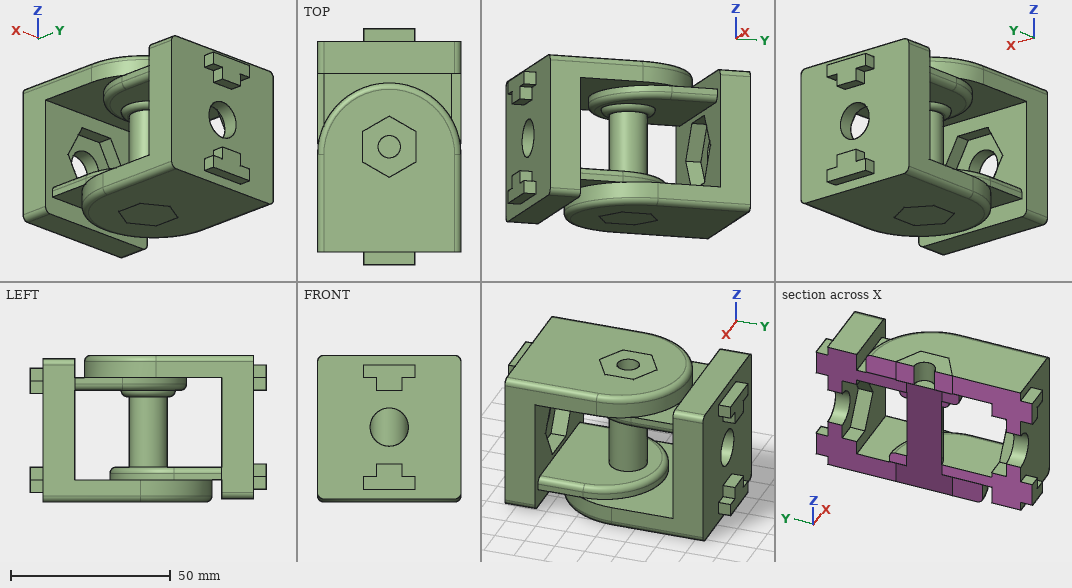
import cadquery as cq


PLATE_SIZE = 45.0
PLATE_THICKNESS = 10.0
PLATE_INNER_FACE = -23.0
PLATE_OUTER_FACE = PLATE_INNER_FACE - PLATE_THICKNESS
EDGE_RADIUS = 2.0

HINGE_HALF_HEIGHT = 23.0
THICK_ARM = 7.0
THIN_ARM = 4.0
CONTACT_HEIGHT = HINGE_HALF_HEIGHT - THICK_ARM
THIN_ARM_FACE = CONTACT_HEIGHT - THIN_ARM
THICK_ARM_TIP = 20.0
THIN_ARM_TIP = 12.0
THIN_ARM_WIDTH = 40.0
THIN_ARM_OFFSET = -0.5
PLATE_MIDDLE = HINGE_HALF_HEIGHT - PLATE_SIZE / 2

KEY_DEPTH = 4.0
KEY_BAR_WIDTH = 16.0
KEY_STEM_WIDTH = 8.0
KEY_BAR_HEIGHT = 4.0
KEY_HEIGHT = 8.0
KEY_OUTER_OFFSET = 19.5

MOUNT_HOLE_DIAMETER = 12.0
MOUNT_HEX_CORNERS = 25.0
MOUNT_HEX_DEPTH = 5.0

PIN_DIAMETER = 12.0
HEX_CORNERS = 19.2
NUT_HOLE_DIAMETER = 7.0
COLLAR_DIAMETER = 17.0
COLLAR_HEIGHT = 2.0
COLLAR_EDGE_RADIUS = 1.95


def rounded_arm(width, tip, z_bottom, thickness, x_middle):
    """Flat arm from the plate's inner face to a full round tip."""
    half = width / 2
    arc_start = tip - half
    return (
        cq.Workplane("XY", origin=(x_middle, 0, z_bottom))
        .moveTo(-half, PLATE_INNER_FACE)
        .lineTo(-half, arc_start)
        .threePointArc((0, tip), (half, arc_start))
        .lineTo(half, PLATE_INNER_FACE)
        .close()
        .extrude(thickness)
    )


def round_top_rim(arm):
    """Round the upper edge of an arm, except where it meets the plate."""
    return arm.faces(">Z").edges("not <Y").fillet(EDGE_RADIUS)


def upright_hexagon(z_bottom, height):
    """Hexagonal prism on the hinge axis, with corners toward +Y and -Y."""
    return (
        cq.Workplane("XY", origin=(0, 0, z_bottom))
        .transformed(rotate=(0, 0, 90))
        .polygon(6, HEX_CORNERS)
        .extrude(height)
    )


def hinge_cylinder(diameter, z_bottom, height):
    """Cylinder on the hinge axis."""
    return cq.Workplane("XY", origin=(0, 0, z_bottom)).circle(diameter / 2).extrude(height)


def make_plate():
    """Square base plate with its four corners rounded."""
    return (
        cq.Workplane("XZ", origin=(0, PLATE_INNER_FACE, PLATE_MIDDLE))
        .rect(PLATE_SIZE, PLATE_SIZE)
        .extrude(PLATE_THICKNESS)
        .edges("|Y")
        .fillet(EDGE_RADIUS)
    )


def make_key(direction):
    """T-shaped key above (direction 1) or below (-1) the mounting hole, stem toward the hole."""
    outer = direction * KEY_OUTER_OFFSET
    shoulder = outer - direction * KEY_BAR_HEIGHT
    inner = outer - direction * KEY_HEIGHT
    half_bar = KEY_BAR_WIDTH / 2
    half_stem = KEY_STEM_WIDTH / 2
    return (
        cq.Workplane("XZ", origin=(0, PLATE_OUTER_FACE, PLATE_MIDDLE))
        .moveTo(-half_bar, outer)
        .lineTo(half_bar, outer)
        .lineTo(half_bar, shoulder)
        .lineTo(half_stem, shoulder)
        .lineTo(half_stem, inner)
        .lineTo(-half_stem, inner)
        .lineTo(-half_stem, shoulder)
        .lineTo(-half_bar, shoulder)
        .close()
        .extrude(KEY_DEPTH)
    )


def make_bracket():
    """Bracket on the -Y side, with its thick arm on top."""
    thick_arm = rounded_arm(PLATE_SIZE, THICK_ARM_TIP, CONTACT_HEIGHT, THICK_ARM, 0)
    thin_arm = rounded_arm(THIN_ARM_WIDTH, THIN_ARM_TIP, -CONTACT_HEIGHT, THIN_ARM, THIN_ARM_OFFSET)
    bracket = make_plate().union(round_top_rim(thick_arm)).union(round_top_rim(thin_arm))
    for direction in (1, -1):
        bracket = bracket.union(make_key(direction))

    mount_plane = cq.Workplane("XZ", origin=(0, PLATE_INNER_FACE, PLATE_MIDDLE))
    mount_hole = mount_plane.circle(MOUNT_HOLE_DIAMETER / 2).extrude(PLATE_THICKNESS)
    mount_recess = mount_plane.polygon(6, MOUNT_HEX_CORNERS).extrude(MOUNT_HEX_DEPTH)
    bracket = bracket.cut(mount_hole).cut(mount_recess)

    bracket = bracket.cut(upright_hexagon(CONTACT_HEIGHT, THICK_ARM))
    return bracket.cut(hinge_cylinder(PIN_DIAMETER, -CONTACT_HEIGHT, THIN_ARM))


def make_pin():
    """Round pin whose hexagonal head fills the socket of the lower thick arm."""
    shank = hinge_cylinder(PIN_DIAMETER, -CONTACT_HEIGHT, 2 * CONTACT_HEIGHT)
    return shank.union(upright_hexagon(-HINGE_HALF_HEIGHT, THICK_ARM))


def make_nut():
    """Hexagonal nut that fills the socket of the upper thick arm."""
    nut = upright_hexagon(CONTACT_HEIGHT, THICK_ARM)
    return nut.cut(hinge_cylinder(NUT_HOLE_DIAMETER, CONTACT_HEIGHT, THICK_ARM))


def make_collar():
    """Ring on the pin under the upper thin arm, with its lower rim rounded."""
    z_bottom = THIN_ARM_FACE - COLLAR_HEIGHT
    disc = hinge_cylinder(COLLAR_DIAMETER, z_bottom, COLLAR_HEIGHT)
    disc = disc.faces("<Z").edges().fillet(COLLAR_EDGE_RADIUS)
    return disc.cut(hinge_cylinder(PIN_DIAMETER, z_bottom, COLLAR_HEIGHT))


brackets = [make_bracket().rotate((0, 0, 0), (1, 0, 0), angle) for angle in (0, 180)]
pin = make_pin()
nut = make_nut()
collar = make_collar()

result = cq.Compound.makeCompound(
    [*(bracket.val() for bracket in brackets), pin.val(), nut.val(), collar.val()]
)